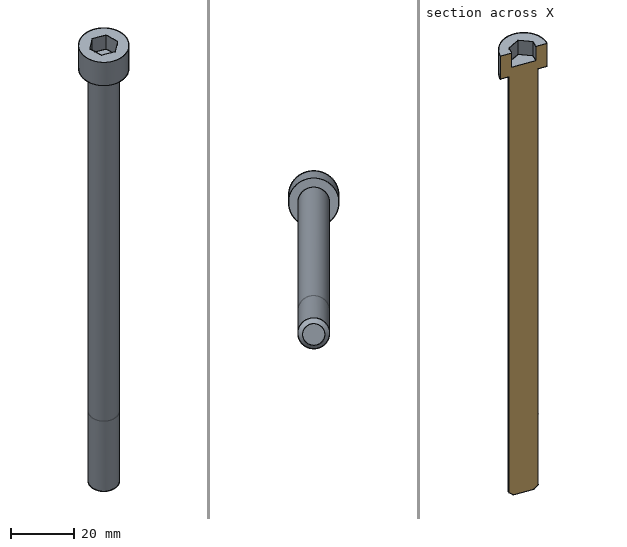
import cadquery as cq
import math

total_length = 190.0
head_diameter = 16.0
head_height = 10.0
shank_diameter = 10.0
thread_length = 32.0
tip_chamfer_height = 1.5
tip_chamfer_width = 1.5
socket_across_flats = 8.2
socket_depth = 6.0

shank_length = total_length - head_height
shank_radius = shank_diameter / 2
socket_across_corners = socket_across_flats / math.cos(math.pi / 6)


def make_shank():
    """Plain shank and simplified thread, with a chamfered tip at Z = 0."""
    thread = (
        cq.Workplane("XZ")
        .moveTo(0, 0)
        .lineTo(shank_radius - tip_chamfer_width, 0)
        .lineTo(shank_radius, tip_chamfer_height)
        .lineTo(shank_radius, thread_length)
        .lineTo(0, thread_length)
        .close()
        .revolve(360, (0, 0, 0), (0, 1, 0))
    )
    plain_shank = (
        cq.Workplane("XY")
        .workplane(offset=thread_length)
        .circle(shank_radius)
        .extrude(shank_length - thread_length)
    )
    return thread.union(plain_shank, clean=False)


def make_head():
    """Cylindrical head above the shank."""
    return (
        cq.Workplane("XY")
        .workplane(offset=shank_length)
        .circle(head_diameter / 2)
        .extrude(head_height)
    )


def make_socket():
    """Hexagonal drive recess with two corners on the X axis."""
    return (
        cq.Workplane("XY")
        .workplane(offset=total_length - socket_depth)
        .polygon(6, socket_across_corners)
        .extrude(socket_depth)
    )


screw = make_shank().union(make_head(), clean=False)
result = screw.cut(make_socket(), clean=False)